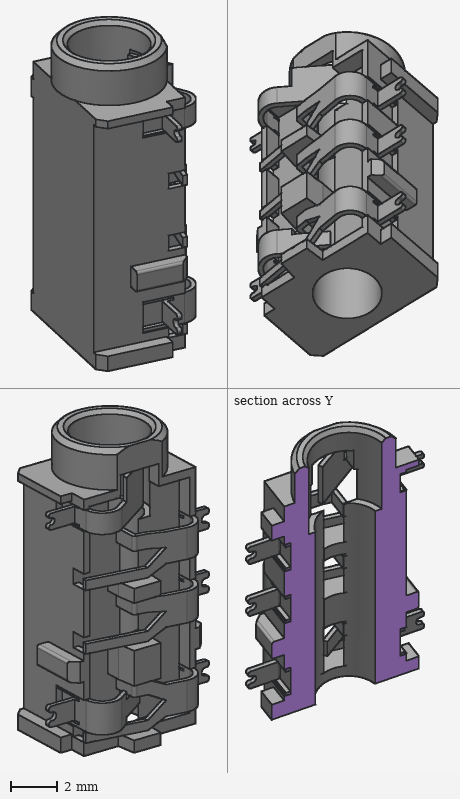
import cadquery as cq
import math


BODY_HALF_X = 3.0
BODY_HALF_Y = 2.2
BODY_TOP = 12.1
COLLAR_RADIUS = 2.5
COLLAR_TOP = 14.0
COLLAR_CHAMFER = 0.24

MOUTH_RADIUS = 1.8
MOUTH_CHAMFER = 0.2
MOUTH_FLOOR = 10.0
BORE_RADIUS = 1.5

RAIL_HALF_X = 3.6
RAIL_BACK = 1.32
RAIL_CHAMFER = 0.39
LEFT_RAILS = ((0.0, 0.9), (10.35, 11.24))
RIGHT_RAILS = ((0.0, 0.73), (11.73, BODY_TOP))
RIB_FRONT = -0.4
RIB_BOTTOM, RIB_TOP = 3.5, 4.5
RIB_FILLET = 0.13

POST_HEIGHTS = ((0.0, 0.59), (3.15, 4.82), (7.05, 7.74))
POST_BACK = 3.19
POST_ROOT_LEFT, POST_ROOT_RIGHT = -0.46, 1.15
POST_TIP_LEFT, POST_TIP_RIGHT = -0.39, 1.04

CHAMBER_FLOOR = 1.41
CHAMBER_BOTTOM, CHAMBER_TOP = 0.59, 11.69
COLLAR_WINDOW_HALF_X = 1.02
COLLAR_WINDOW_TOP = 12.75

STRIP = 0.22
CURL_RADIUS = 0.9
CURL_X = -2.02
LEG_OUTER_X = CURL_X - CURL_RADIUS
LEG_INNER_X = LEG_OUTER_X + STRIP
LEG_END = 0.18
WIDE_LEG = 1.5
NARROW_LEG = 1.01

TAB_END_X = 4.3
TAB_BACK = CHAMBER_FLOOR
WINDOW_BACK = 1.7
WIDE_TAB, WIDE_WINDOW, WIDE_NOTCH = 1.0, 1.19, 0.39
NARROW_TAB, NARROW_WINDOW, NARROW_NOTCH = 0.78, 0.9, 0.31
PRONG_ROUNDING = 0.45
TAB_BEND_FILLET = 0.14

LEFT_SLOPE = 9.0
FORK_START_X, FORK_END_X = -0.88, 0.0
HOOK_X = 0.69
HOOK_FILLET = 0.17
HOOK_WIDTH = 0.7
LONG_DROP = 0.49
LONG_WIDTH = 0.48
SHORT_HOOK_RISE, TALL_HOOK_RISE = 0.08, 0.39
LEFT_CONTACTS = ((9.09, SHORT_HOOK_RISE), (6.09, SHORT_HOOK_RISE), (1.89, TALL_HOOK_RISE))

RIGHT_SLOPE = 34.0
UPPER_RIGHT_Z, LOWER_RIGHT_Z = 11.09, 1.89
UPPER_REACH, LOWER_REACH = 0.77, 0.42
STEP_X = -0.98
UPPER_ARM_TOP = 12.73
LOWER_ARM_BOTTOM, LOWER_ARM_TOP = 1.45, 2.3


def block(x_range, y_range, z_range):
    """Box between the given limits on each axis."""
    (x0, x1), (y0, y1), (z0, z1) = x_range, y_range, z_range
    return cq.Workplane("XY").box(x1 - x0, y1 - y0, z1 - z0, centered=False).translate((x0, y0, z0))


def mirrored(solid):
    """Copy of the solid on the opposite X side."""
    return solid.mirror("YZ")



def side_rail(bottom, top):
    """Rail on the left wall with a chamfered front corner."""
    rail = block((-RAIL_HALF_X, 0), (-BODY_HALF_Y, RAIL_BACK), (bottom, top))
    return rail.edges("|Z and <X and <Y").chamfer(RAIL_CHAMFER)


def side_rib():
    """Rib on the left wall with rounded outer edges and a chamfered back corner."""
    rib = block((-RAIL_HALF_X, 0), (RIB_FRONT, BODY_HALF_Y), (RIB_BOTTOM, RIB_TOP))
    rib = rib.edges("|Y and <X").fillet(RIB_FILLET)
    back_corner = (
        cq.Workplane("XY", origin=(0, 0, RIB_BOTTOM))
        .moveTo(-RAIL_HALF_X, BODY_HALF_Y)
        .lineTo(-RAIL_HALF_X + RAIL_CHAMFER, BODY_HALF_Y)
        .lineTo(-RAIL_HALF_X, BODY_HALF_Y - RAIL_CHAMFER)
        .close()
        .extrude(RIB_TOP - RIB_BOTTOM)
    )
    return rib.cut(back_corner)


def collar():
    """Round collar around the plug opening, flat at the back."""
    ring = (
        cq.Workplane("XY", origin=(0, 0, BODY_TOP))
        .circle(COLLAR_RADIUS)
        .extrude(COLLAR_TOP - BODY_TOP)
        .faces(">Z")
        .chamfer(COLLAR_CHAMFER)
    )
    flat_side = block(
        (-COLLAR_RADIUS, COLLAR_RADIUS), (BODY_HALF_Y, COLLAR_RADIUS), (BODY_TOP, COLLAR_TOP)
    )
    return ring.cut(flat_side)


def guide_post(bottom, top):
    """Tapered post from the chamber floor out past the back face."""
    return (
        cq.Workplane("XY", origin=(0, 0, bottom))
        .moveTo(POST_ROOT_LEFT, CHAMBER_FLOOR)
        .lineTo(POST_ROOT_RIGHT, CHAMBER_FLOOR)
        .lineTo(POST_ROOT_RIGHT, BODY_HALF_Y)
        .lineTo(POST_TIP_RIGHT, POST_BACK)
        .lineTo(POST_TIP_LEFT, POST_BACK)
        .lineTo(POST_ROOT_LEFT, BODY_HALF_Y)
        .close()
        .extrude(top - bottom)
    )


def plug_bore():
    """Through bore with a wider, chamfered mouth."""
    bore = cq.Workplane("XY").circle(BORE_RADIUS).extrude(COLLAR_TOP)
    mouth = (
        cq.Workplane("XY", origin=(0, 0, MOUTH_FLOOR))
        .circle(MOUTH_RADIUS)
        .extrude(COLLAR_TOP - MOUTH_FLOOR)
    )
    rim = cq.Workplane("XY").add(
        cq.Solid.makeCone(
            MOUTH_RADIUS,
            MOUTH_RADIUS + MOUTH_CHAMFER,
            MOUTH_CHAMFER,
            pnt=cq.Vector(0, 0, COLLAR_TOP - MOUTH_CHAMFER),
        )
    )
    return bore.union(mouth).union(rim)


def leg_slot(center_z, leg_width):
    """Slot in the left wall that holds a contact leg."""
    half = leg_width / 2
    return block(
        (-BODY_HALF_X, LEG_INNER_X), (LEG_END, BODY_HALF_Y), (center_z - half, center_z + half)
    )


def finger_exit(center_z):
    """Notch in the right wall that clears the end of a long finger."""
    bottom = center_z - WIDE_LEG / 2 - LONG_DROP
    top = center_z - WIDE_TAB / 2
    return block((-LEG_INNER_X, BODY_HALF_X), (CHAMBER_FLOOR, BODY_HALF_Y), (bottom, top))


def make_housing():
    housing = block((-BODY_HALF_X, BODY_HALF_X), (-BODY_HALF_Y, BODY_HALF_Y), (0, BODY_TOP))
    housing = housing.union(collar())
    for bottom, top in LEFT_RAILS:
        housing = housing.union(side_rail(bottom, top))
    for bottom, top in RIGHT_RAILS:
        housing = housing.union(mirrored(side_rail(bottom, top)))
    housing = housing.union(side_rib()).union(mirrored(side_rib()))

    chamber = block(
        (LEG_INNER_X, -LEG_INNER_X), (CHAMBER_FLOOR, BODY_HALF_Y), (CHAMBER_BOTTOM, CHAMBER_TOP)
    )
    collar_window = block(
        (-COLLAR_WINDOW_HALF_X, COLLAR_WINDOW_HALF_X),
        (CHAMBER_FLOOR, BODY_HALF_Y),
        (CHAMBER_TOP, COLLAR_WINDOW_TOP),
    )
    housing = housing.cut(chamber).cut(collar_window)
    for bottom, top in POST_HEIGHTS:
        housing = housing.union(guide_post(bottom, top))

    for center_z, _ in LEFT_CONTACTS:
        housing = housing.cut(leg_slot(center_z, WIDE_LEG)).cut(finger_exit(center_z))
    housing = housing.cut(mirrored(leg_slot(UPPER_RIGHT_Z, NARROW_LEG)))
    housing = housing.cut(mirrored(leg_slot(LOWER_RIGHT_Z, WIDE_LEG)))
    return housing.cut(plug_bore())



def curl_point(radius, angle):
    """Point on the curl; the angle is measured from the +Y direction towards +X."""
    return (
        CURL_X + radius * math.sin(math.radians(angle)),
        BODY_HALF_Y + radius * math.cos(math.radians(angle)),
    )


def arm_outer_y(x, slope):
    """Y position of the outer face of an arm at the given X."""
    start_x, start_y = curl_point(CURL_RADIUS, slope)
    return start_y - (x - start_x) * math.tan(math.radians(slope))


def curled_strip(slope, arm_end_x):
    """Leg, curl and sloping arm as one strip as tall as the jack, to be trimmed in Z."""
    inner_radius = CURL_RADIUS - STRIP
    middle_angle = (slope - 90) / 2
    sine, cosine = math.sin(math.radians(slope)), math.cos(math.radians(slope))
    tip = (arm_end_x, arm_outer_y(arm_end_x, slope))
    return (
        cq.Workplane("XY")
        .moveTo(LEG_OUTER_X, LEG_END)
        .lineTo(LEG_OUTER_X, BODY_HALF_Y)
        .threePointArc(curl_point(CURL_RADIUS, middle_angle), curl_point(CURL_RADIUS, slope))
        .lineTo(*tip)
        .lineTo(tip[0] - STRIP * sine, tip[1] - STRIP * cosine)
        .lineTo(*curl_point(inner_radius, slope))
        .threePointArc(curl_point(inner_radius, middle_angle), (LEG_INNER_X, BODY_HALF_Y))
        .lineTo(LEG_INNER_X, LEG_END)
        .close()
        .extrude(COLLAR_TOP)
    )


def hooked_strip():
    """Curled strip whose arm turns down into the chamber at its end."""
    hook = block(
        (HOOK_X - STRIP, HOOK_X), (CHAMBER_FLOOR, arm_outer_y(HOOK_X, LEFT_SLOPE)), (0, COLLAR_TOP)
    )
    strip = curled_strip(LEFT_SLOPE, HOOK_X).union(hook)
    return strip.edges("|Z").edges(">X").edges(">Y").fillet(HOOK_FILLET)


def strip_band(outline):
    """Region with the given (x, z) outline, deep enough in Y to trim a strip."""
    return cq.Workplane("XZ").polyline(outline).close().extrude(COLLAR_RADIUS + POST_BACK, both=True)


def add_tab(contact, center_z, tab_width, window_width, notch_width):
    """Open the window in the leg and add the bent-out tab with its notched end."""
    half_tab, half_window = tab_width / 2, window_width / 2
    leg_x = (LEG_OUTER_X, LEG_INNER_X)
    tab_z = (center_z - half_tab, center_z + half_tab)
    window = block(
        leg_x, (LEG_END, WINDOW_BACK), (center_z - half_window, center_z + half_window)
    )
    neck = block(leg_x, (TAB_BACK - STRIP, WINDOW_BACK), tab_z)
    neck = neck.edges("|Z and >X and <Y").fillet(TAB_BEND_FILLET)
    tab = block((-TAB_END_X, LEG_OUTER_X), (TAB_BACK - STRIP, TAB_BACK), tab_z)
    notch = (
        cq.Workplane("XZ", origin=(-TAB_END_X, TAB_BACK, center_z))
        .slot2D(2 * notch_width, notch_width)
        .extrude(STRIP)
    )
    prong_width = (tab_width - notch_width) / 2
    tab = tab.cut(notch).edges("|Y and <X").fillet(PRONG_ROUNDING * prong_width)
    return contact.cut(window).union(neck).union(tab)


def left_contact(center_z, hook_rise):
    """Forked contact: the lower finger runs to the right wall, the upper one ends in a hook."""
    leg_bottom = center_z - WIDE_LEG / 2
    leg_top = center_z + WIDE_LEG / 2
    hook_top = leg_top + hook_rise
    hook_bottom = hook_top - HOOK_WIDTH
    long_bottom = leg_bottom - LONG_DROP
    long_top = long_bottom + LONG_WIDTH

    hook_finger = hooked_strip().intersect(strip_band([
        (LEG_OUTER_X, leg_bottom),
        (FORK_START_X, leg_bottom),
        (FORK_START_X, center_z),
        (FORK_END_X, hook_bottom),
        (HOOK_X, hook_bottom),
        (HOOK_X, hook_top),
        (FORK_END_X, hook_top),
        (FORK_START_X, leg_top),
        (LEG_OUTER_X, leg_top),
    ]))
    long_finger = curled_strip(LEFT_SLOPE, BODY_HALF_X).intersect(strip_band([
        (LEG_OUTER_X, leg_bottom),
        (FORK_START_X, leg_bottom),
        (FORK_END_X, long_bottom),
        (BODY_HALF_X, long_bottom),
        (BODY_HALF_X, long_top),
        (FORK_END_X, long_top),
        (FORK_START_X, center_z),
        (LEG_OUTER_X, center_z),
    ]))
    contact = hook_finger.union(long_finger)
    return add_tab(contact, center_z, WIDE_TAB, WIDE_WINDOW, WIDE_NOTCH)


def stepped_arm(center_z, leg_width, arm_bottom, arm_top, reach):
    """Steep-armed strip on the left side whose band changes from the leg to the arm at a step."""
    half_leg = leg_width / 2
    depth = (0, POST_BACK)
    leg_band = block((LEG_OUTER_X, STEP_X), depth, (center_z - half_leg, center_z + half_leg))
    arm_band = block((STEP_X, reach), depth, (arm_bottom, arm_top))
    return curled_strip(RIGHT_SLOPE, reach).intersect(leg_band.union(arm_band))


def upper_right_contact():
    """Contact whose arm widens upwards into the collar window."""
    arm_bottom = UPPER_RIGHT_Z - NARROW_LEG / 2
    contact = stepped_arm(UPPER_RIGHT_Z, NARROW_LEG, arm_bottom, UPPER_ARM_TOP, UPPER_REACH)
    return mirrored(add_tab(contact, UPPER_RIGHT_Z, NARROW_TAB, NARROW_WINDOW, NARROW_NOTCH))


def lower_right_contact():
    """Contact whose narrowed arm passes between the fingers of the lowest left contact."""
    contact = stepped_arm(LOWER_RIGHT_Z, WIDE_LEG, LOWER_ARM_BOTTOM, LOWER_ARM_TOP, LOWER_REACH)
    return mirrored(add_tab(contact, LOWER_RIGHT_Z, WIDE_TAB, WIDE_WINDOW, WIDE_NOTCH))


housing = make_housing()
left_contacts = [left_contact(center_z, hook_rise) for center_z, hook_rise in LEFT_CONTACTS]
right_contacts = [upper_right_contact(), lower_right_contact()]

bodies = [housing, *left_contacts, *right_contacts]
result = cq.Compound.makeCompound([body.solids().val() for body in bodies])